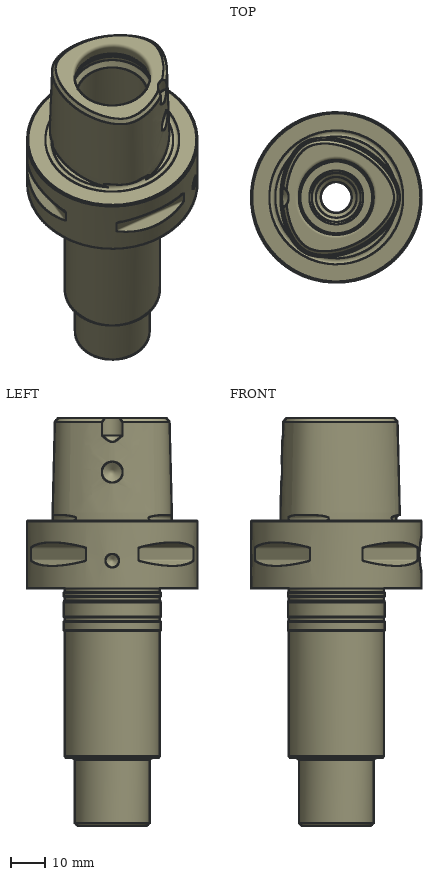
import cadquery as cq
import math

TOTAL_HEIGHT = 119.5
FLANGE_TOP = 89.5
FLANGE_BOTTOM = 69.5

FLANGE_RADIUS = 50.0 / 2
FLANGE_CHAMFER = 0.4

RELIEF_CENTER_RADIUS = 18.6
RELIEF_CENTER_Z = 90.0
RELIEF_ARC_RADIUS = 1.1
SEAT_Z = 89.3

LOBE_COUNT = 3
LOBE_MEAN_RADIUS = 35.0 / 2
LOBE_ECCENTRICITY = 1.14
LOBE_TAPER = 1 / 40
LOBE_FLAT_HALF_ANGLE = 33.0
TAPER_BOTTOM = 91.7
LOBE_TOP_CHAMFER_HEIGHT = 1.2
LOBE_TOP_CHAMFER_WIDTH = 1.1

SLOT_COUNT = 4
SLOT_CENTER_Z = 79.6
SLOT_FLOOR_DISTANCE = 22.2
SLOT_FLOOR_HEIGHT = 3.8
SLOT_SIDE_RISE = 0.56
SLOT_CORNER_RADIUS = 0.6
CUT_MARGIN = 1.2

DRILL_TIP_ANGLE = 118.0
LOBE_HOLE_DIAMETER = 6.1
LOBE_HOLE_Z = 103.6
LOBE_HOLE_FLOOR_X = -12.7
KEYWAY_DIAMETER = 7.0
KEYWAY_TIP_ANGLE = 90.0
KEYWAY_AXIS_X = -17.5
KEYWAY_FLOOR_Z = 114.4
FLANGE_HOLE_DIAMETER = 4.0
FLANGE_HOLE_Z = 77.7
FLANGE_HOLE_DEPTH = 3.6
CHIP_HOLE_DIAMETER = 10.5
CHIP_HOLE_DEPTH = 4.5

BODY_RADIUS = 28.0 / 2
COLLAR_RADIUS = 28.5 / 2
COLLAR_BEVEL = 0.2
COLLAR_LONG_BEVEL = 0.7
COLLARS = [
    (57.4, 59.8, COLLAR_BEVEL),
    (61.3, 65.4, COLLAR_LONG_BEVEL),
    (67.3, 68.2, COLLAR_BEVEL),
]
BODY_BOTTOM = 20.0
BODY_CHAMFER = 0.5
NOSE_RADIUS = 22.0 / 2
NOSE_TOP = 19.4
NOSE_CHAMFER = 1.0

MOUTH_RADIUS = 24.0 / 2
PILOT_RADIUS = 22.0 / 2
CLAMP_GROOVE_RADIUS = 12.0
RING_GROOVE_RADIUS = 12.3
CLAMP_CONE_RADIUS = 11.5
CLAMP_BORE_RADIUS = 21.0 / 2
THREAD_RADIUS = 14.3 / 2
THREAD_CHAMFER = 0.7
MIDDLE_RADIUS = 12.0 / 2
THROUGH_RADIUS = 9.0 / 2
PILOT_BOTTOM = 115.8
RING_GROOVE_TOP = 114.2
RING_GROOVE_BOTTOM = 113.3
CLAMP_GROOVE_BOTTOM = 111.7
CLAMP_CONE_TOP = 111.1
CLAMP_CONE_BOTTOM = 110.0
CLAMP_BORE_FLOOR = 83.6
THREAD_BOTTOM = 59.8
MIDDLE_BOTTOM = 47.8


def revolve_profile(points):
    """Solid of revolution about Z from (radius, z) points."""
    return cq.Workplane("XZ").polyline(points).close().revolve(360, (0, 0), (0, 1))


def lobe_point(mean_radius, angle):
    """Point of the three-lobed outline whose normal points at the given angle."""
    support = mean_radius + LOBE_ECCENTRICITY * math.cos(LOBE_COUNT * angle)
    slope = -LOBE_COUNT * LOBE_ECCENTRICITY * math.sin(LOBE_COUNT * angle)
    return (
        support * math.cos(angle) - slope * math.sin(angle),
        support * math.sin(angle) + slope * math.cos(angle),
    )


def lobe_outline(mean_radius, z):
    """Closed outline at height z, split where the lobes meet the flatter sides."""
    pitch = 360 / LOBE_COUNT
    corner = pitch / 2 - LOBE_FLAT_HALF_ANGLE
    breaks = []
    for i in range(LOBE_COUNT):
        breaks += [i * pitch - corner, i * pitch + corner]
    breaks.append(breaks[0] + 360)
    edges = []
    samples = 9
    for start, end in zip(breaks, breaks[1:]):
        points = []
        for i in range(samples):
            angle = math.radians(start + (end - start) * i / (samples - 1))
            points.append(cq.Vector(*lobe_point(mean_radius, angle), z))
        edges.append(cq.Edge.makeSpline(points))
    return cq.Wire.assembleEdges(edges)


def lobe_section(radius_bottom, z_bottom, radius_top, z_top):
    """Ruled solid between two three-lobed outlines."""
    outlines = [lobe_outline(radius_bottom, z_bottom), lobe_outline(radius_top, z_top)]
    return cq.Workplane(cq.Solid.makeLoft(outlines, True))


def make_shank():
    taper_top = TOTAL_HEIGHT - LOBE_TOP_CHAMFER_HEIGHT
    radius_top = LOBE_MEAN_RADIUS - LOBE_TAPER * (taper_top - TAPER_BOTTOM)
    taper = lobe_section(LOBE_MEAN_RADIUS, TAPER_BOTTOM, radius_top, taper_top)
    tip = lobe_section(radius_top, taper_top, radius_top - LOBE_TOP_CHAMFER_WIDTH, TOTAL_HEIGHT)

    foot = lobe_section(LOBE_MEAN_RADIUS, SEAT_Z, LOBE_MEAN_RADIUS, TAPER_BOTTOM)
    return foot.union(taper).union(tip)


def make_relief_groove():
    """Ring of round section that undercuts the lobes and the inner flange edge."""
    ring = cq.Solid.makeTorus(RELIEF_CENTER_RADIUS, RELIEF_ARC_RADIUS)
    return cq.Workplane(ring).translate((0, 0, RELIEF_CENTER_Z))


def make_turned_body():
    collar_points = []
    for bottom, top, upper_bevel in COLLARS:
        collar_points += [
            (BODY_RADIUS, bottom - COLLAR_BEVEL),
            (COLLAR_RADIUS, bottom),
            (COLLAR_RADIUS, top),
            (BODY_RADIUS, top + upper_bevel),
        ]
    return revolve_profile([
        (0, 0),
        (NOSE_RADIUS - NOSE_CHAMFER, 0),
        (NOSE_RADIUS, NOSE_CHAMFER),
        (NOSE_RADIUS, NOSE_TOP),
        (NOSE_RADIUS + BODY_BOTTOM - NOSE_TOP, BODY_BOTTOM),
        (BODY_RADIUS - BODY_CHAMFER, BODY_BOTTOM),
        (BODY_RADIUS, BODY_BOTTOM + BODY_CHAMFER),
        *collar_points,
        (BODY_RADIUS, FLANGE_BOTTOM),
        (FLANGE_RADIUS, FLANGE_BOTTOM),
        (FLANGE_RADIUS, FLANGE_TOP - FLANGE_CHAMFER),
        (FLANGE_RADIUS - FLANGE_CHAMFER, FLANGE_TOP),
        (RELIEF_CENTER_RADIUS, FLANGE_TOP),
        (RELIEF_CENTER_RADIUS, SEAT_Z),
        (0, SEAT_Z),
    ])


def make_bore():
    return revolve_profile([
        (0, 0),
        (THROUGH_RADIUS, 0),
        (THROUGH_RADIUS, MIDDLE_BOTTOM - MIDDLE_RADIUS + THROUGH_RADIUS),
        (MIDDLE_RADIUS, MIDDLE_BOTTOM),
        (MIDDLE_RADIUS, THREAD_BOTTOM - THREAD_RADIUS + MIDDLE_RADIUS),
        (THREAD_RADIUS, THREAD_BOTTOM),
        (THREAD_RADIUS, CLAMP_BORE_FLOOR - THREAD_CHAMFER),
        (THREAD_RADIUS + THREAD_CHAMFER, CLAMP_BORE_FLOOR),
        (CLAMP_BORE_RADIUS, CLAMP_BORE_FLOOR),
        (CLAMP_BORE_RADIUS, CLAMP_CONE_BOTTOM),
        (CLAMP_CONE_RADIUS, CLAMP_CONE_TOP),
        (CLAMP_GROOVE_RADIUS, CLAMP_GROOVE_BOTTOM),
        (CLAMP_GROOVE_RADIUS, RING_GROOVE_BOTTOM),
        (RING_GROOVE_RADIUS, RING_GROOVE_BOTTOM),
        (RING_GROOVE_RADIUS, RING_GROOVE_TOP),
        (CLAMP_GROOVE_RADIUS, RING_GROOVE_TOP),
        (CLAMP_GROOVE_RADIUS, PILOT_BOTTOM - CLAMP_GROOVE_RADIUS + PILOT_RADIUS),
        (PILOT_RADIUS, PILOT_BOTTOM),
        (PILOT_RADIUS, TOTAL_HEIGHT),
        (0, TOTAL_HEIGHT),
    ])


def drill(diameter, length, tip_angle):
    """Drill standing on its tip: shoulder at z = 0, tip below, body rising to length."""
    radius = diameter / 2
    tip = radius / math.tan(math.radians(tip_angle / 2))
    return revolve_profile([(0, -tip), (radius, 0), (radius, length), (0, length)])


def drill_from_minus_x(diameter, floor_x, z):
    """Drill entering along +X with its shoulder at floor_x."""
    tool = drill(diameter, FLANGE_RADIUS, DRILL_TIP_ANGLE)
    return tool.rotate((0, 0, 0), (0, 1, 0), -90).translate((floor_x, 0, z))


def make_gripper_slot():
    """Trapezoidal slot across the +X side of the flange."""
    floor_half = SLOT_FLOOR_HEIGHT / 2
    outer_x = FLANGE_RADIUS + CUT_MARGIN
    mouth_half = floor_half + SLOT_SIDE_RISE * (outer_x - SLOT_FLOOR_DISTANCE)
    profile = [
        (SLOT_FLOOR_DISTANCE, SLOT_CENTER_Z - floor_half),
        (outer_x, SLOT_CENTER_Z - mouth_half),
        (outer_x, SLOT_CENTER_Z + mouth_half),
        (SLOT_FLOOR_DISTANCE, SLOT_CENTER_Z + floor_half),
    ]
    slot = cq.Workplane("XZ").polyline(profile).close().extrude(FLANGE_RADIUS, both=True)
    return slot.edges("|Y").edges("<X").fillet(SLOT_CORNER_RADIUS)


result = make_turned_body().union(make_shank()).cut(make_relief_groove())
result = result.cut(make_bore())

mouth_edge = cq.selectors.RadiusNthSelector(0)
result = result.faces(">Z").edges("%CIRCLE").edges(mouth_edge).fillet(MOUTH_RADIUS - PILOT_RADIUS)

slot = make_gripper_slot()
for i in range(SLOT_COUNT):
    angle = (i + 0.5) * 360 / SLOT_COUNT
    result = result.cut(slot.rotate((0, 0, 0), (0, 0, 1), angle))

keyway = drill(KEYWAY_DIAMETER, TOTAL_HEIGHT - KEYWAY_FLOOR_Z, KEYWAY_TIP_ANGLE)
result = result.cut(keyway.translate((KEYWAY_AXIS_X, 0, KEYWAY_FLOOR_Z)))
result = result.cut(drill_from_minus_x(LOBE_HOLE_DIAMETER, LOBE_HOLE_FLOOR_X, LOBE_HOLE_Z))
flange_hole_floor = FLANGE_HOLE_DEPTH - FLANGE_RADIUS
result = result.cut(drill_from_minus_x(FLANGE_HOLE_DIAMETER, flange_hole_floor, FLANGE_HOLE_Z))

chip_hole = (
    cq.Workplane("YZ", origin=(FLANGE_RADIUS - CHIP_HOLE_DEPTH, 0, SLOT_CENTER_Z))
    .circle(CHIP_HOLE_DIAMETER / 2)
    .extrude(2 * CHIP_HOLE_DEPTH)
)
result = result.cut(chip_hole)